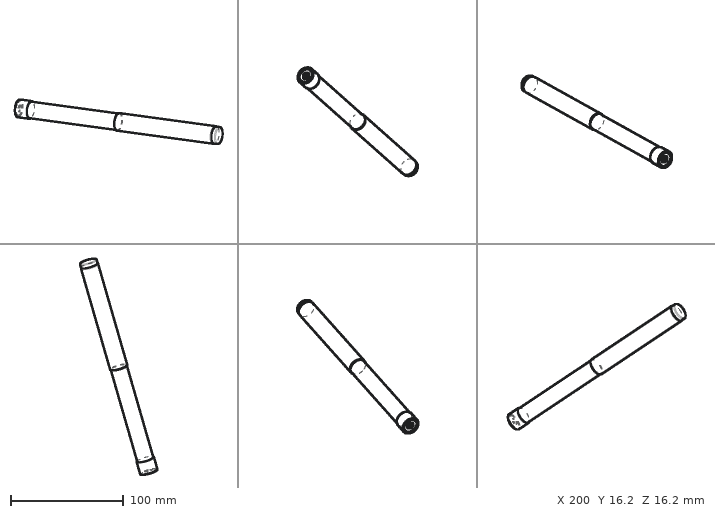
import cadquery as cq

total_length = 199.97

cap_diameter = 16.16
cap_length = 11.9
cap_front_chamfer = 0.3
rim_inner_diameter = 13.1
rim_drop = 0.1

dish_diameter = 12.3
dish_edge_depth = 0.5
dish_center_depth = 0.9

recess_diameters = [6.4, 5.3, 4.3, 3.3]
recess_step_depth = 0.15

neck_diameter = 15.0
sleeve_diameter = 16.0
spigot_diameter = 15.5
sleeve_start = 99.0
sleeve_end = 196.1
sleeve_rear_round_length = 1.1
spigot_round = 0.8

cap_radius = cap_diameter / 2
neck_radius = neck_diameter / 2
sleeve_radius = sleeve_diameter / 2
spigot_radius = spigot_diameter / 2


def turned(outline):
    """Close an outline drawn in (x, radius) and revolve it about the X axis."""
    return outline.close().revolve(360, (0, 0, 0), (1, 0, 0))


def make_cap():
    """Head cap with a dished face, a stepped recess and a rear edge rounded down to the neck."""
    rear_round = cap_radius - neck_radius
    recess_floor = dish_center_depth + len(recess_diameters) * recess_step_depth
    outline = cq.Workplane("XY").moveTo(cap_length, 0).lineTo(recess_floor, 0)
    depth = recess_floor
    for diameter in reversed(recess_diameters):
        outline = outline.lineTo(depth, diameter / 2)
        depth -= recess_step_depth
        outline = outline.lineTo(depth, diameter / 2)
    outline = (
        outline.lineTo(dish_edge_depth, dish_diameter / 2)
        .lineTo(rim_drop, rim_inner_diameter / 2)
        .lineTo(0, cap_radius - cap_front_chamfer)
        .lineTo(cap_front_chamfer, cap_radius)
        .lineTo(cap_length - rear_round, cap_radius)
        .tangentArcPoint((cap_length, neck_radius), relative=False)
    )
    return turned(outline)


def make_barrel():
    """Solid barrel that butts against the rear of the cap."""
    front_chamfer = sleeve_radius - neck_radius
    outline = (
        cq.Workplane("XY")
        .moveTo(cap_length, 0)
        .lineTo(cap_length, neck_radius)
        .lineTo(sleeve_start, neck_radius)
        .lineTo(sleeve_start + front_chamfer, sleeve_radius)
        .lineTo(sleeve_end - sleeve_rear_round_length, sleeve_radius)
        .tangentArcPoint((sleeve_end, spigot_radius), relative=False)
        .lineTo(total_length - spigot_round, spigot_radius)
        .tangentArcPoint((total_length, spigot_radius - spigot_round), relative=False)
        .lineTo(total_length, 0)
    )
    return turned(outline)


cap = make_cap()
barrel = make_barrel()
result = cq.Compound.makeCompound([cap.val(), barrel.val()])